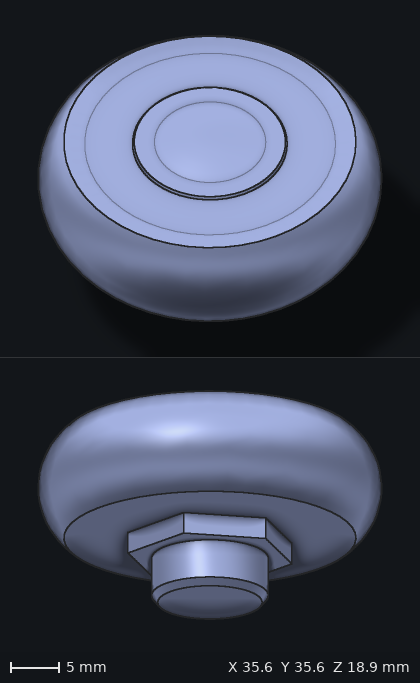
import cadquery as cq
import math

wheel_radius = 17.78
rim_radius = 15.1
wheel_height = 10.95

dish_depth = 0.3
dish_floor_radius = 12.98
collar_radius = 8.0
collar_taper = 0.18
dome_radius = 5.75
dome_rise = 0.92

nut_across_flats = 15.0
nut_height = 2.25
stem_radius = 6.05
stem_length = 4.8
stem_chamfer_height = 0.75
stem_tip_radius = 5.4

nut_across_corners = nut_across_flats / math.cos(math.radians(30))
dish_floor_z = wheel_height - dish_depth
dome_top_z = wheel_height + dome_rise
stem_bottom_z = -nut_height - stem_length


def make_wheel():
    """Revolve the wheel, its dished top, the collar and the dome around Z."""
    profile = (
        cq.Workplane("XZ")
        .lineTo(rim_radius, 0)
        .threePointArc((wheel_radius, wheel_height / 2), (rim_radius, wheel_height))
        .lineTo(dish_floor_radius, dish_floor_z)
        .lineTo(collar_radius, dish_floor_z)
        .lineTo(collar_radius - collar_taper, wheel_height)
        .lineTo(dome_radius, wheel_height)
    )
    sphere_radius = (dome_radius**2 + dome_rise**2) / (2 * dome_rise)
    return (
        profile.radiusArc((0, dome_top_z), -sphere_radius)
        .close()
        .revolve(360, (0, 0), (0, 1))
    )


def make_nut():
    """Hexagon with two corners on the X axis."""
    return (
        cq.Workplane("XY")
        .polygon(6, nut_across_corners)
        .extrude(-nut_height)
    )


def make_stem():
    """Round stem with a chamfered tip."""
    return (
        cq.Workplane("XZ")
        .lineTo(stem_radius, 0)
        .lineTo(stem_radius, stem_bottom_z + stem_chamfer_height)
        .lineTo(stem_tip_radius, stem_bottom_z)
        .lineTo(0, stem_bottom_z)
        .close()
        .revolve(360, (0, 0), (0, 1))
    )


result = make_wheel().union(make_nut()).union(make_stem())